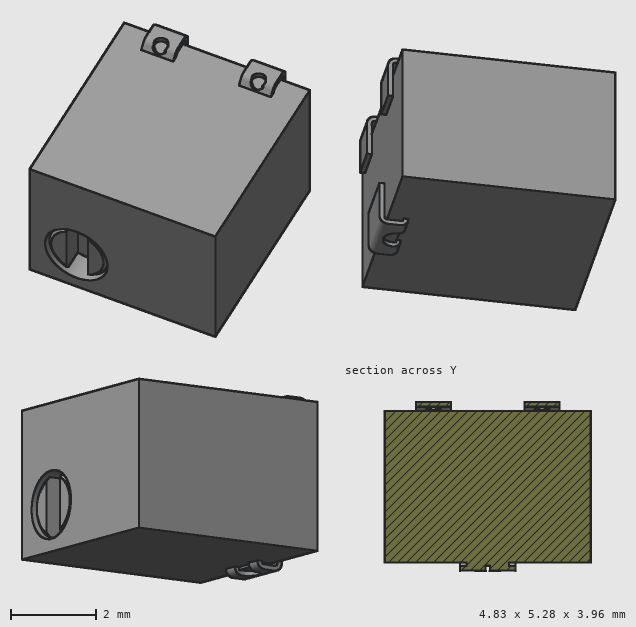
import cadquery as cq
import math

BODY_WIDTH = 4.83
BODY_DEPTH = 5.08
BODY_HEIGHT = 3.55
BACK_Y = BODY_DEPTH / 2
FRONT_Y = -BODY_DEPTH / 2

SCREW_X = -1.20
SCREW_Z = 1.12
SCREW_HOLE_RADIUS = 0.813
SCREW_HOLE_DEPTH = 0.8
SCREW_RADIUS = 0.767
SCREW_RECESS = 0.055
SCREW_CHAMFER = 0.087
SCREW_SLOT_WIDTH = 0.55
SCREW_SLOT_FLOOR = 0.65

STRIP_THICKNESS = 0.12
BACK_PROJECTION = 0.20
BACK_BEND_RADIUS = BACK_PROJECTION

TOP_TERMINAL_WIDTH = 0.83
TOP_TERMINAL_SPACING = 2.54
TOP_PROJECTION = 0.215
TOP_FLAT_LENGTH = 0.319
TOP_LEG_HEIGHT = 1.06
TOP_TIP_RADIUS = 0.22
TOP_TIP_ANGLE = 52.0
TOP_TIP_RUN = 0.30
TOP_HOLE_RADIUS = 0.177
TOP_HOLE_SETBACK = 0.387
TIP_HOLE_SETBACK = 0.055

BOTTOM_TERMINAL_WIDTH = 1.30
BOTTOM_PROJECTION = 0.195
BOTTOM_FLAT_LENGTH = 0.30
BOTTOM_LEG_HEIGHT = 1.12
BOTTOM_TIP_ANGLE = 90.0
BOTTOM_NOTCH_WIDTH = 0.565

PAD_WIDTH = 1.0
PAD_SETBACK = 0.02

OVERLAP = 0.01


def cylinder_along_y(radius, start_y, length):
    """Cylinder on the screw axis, growing toward +Y."""
    plane = cq.Plane(origin=(SCREW_X, start_y, SCREW_Z), xDir=(1, 0, 0), normal=(0, 1, 0))
    return cq.Workplane(plane).circle(radius).extrude(length)


def make_screw():
    """Chamfered screw with a slot across its face, rooted in the floor of its hole."""
    face_y = FRONT_Y + SCREW_RECESS
    screw = cylinder_along_y(SCREW_RADIUS, face_y, SCREW_HOLE_DEPTH - SCREW_RECESS + OVERLAP)
    screw = screw.faces("<Y").chamfer(SCREW_CHAMFER)
    slot_center_y = FRONT_Y + SCREW_SLOT_FLOOR / 2
    slot = cq.Workplane("XY").box(SCREW_SLOT_WIDTH, SCREW_SLOT_FLOOR, 2 * SCREW_HOLE_RADIUS)
    return screw.cut(slot.translate((SCREW_X, slot_center_y, SCREW_Z)))


def make_housing():
    """Block with the screw hole cut and the screw set in it."""
    housing = cq.Workplane("XY").box(BODY_WIDTH, BODY_DEPTH, BODY_HEIGHT, centered=(True, True, False))
    housing = housing.cut(cylinder_along_y(SCREW_HOLE_RADIUS, FRONT_Y, SCREW_HOLE_DEPTH))
    return housing.union(make_screw())


def make_strip(flat_length, projection, leg_height, tip_radius, tip_angle, tip_run, width):
    """Strip above Z = 0 and behind Y = 0: upright leg, bend, flat, bend, straight tip.

    Y = 0 is the back face of the housing and Z = 0 the housing face the strip wraps over.
    """
    leg_y = BACK_PROJECTION
    bend_y = BACK_PROJECTION - BACK_BEND_RADIUS
    bend_z = projection - BACK_BEND_RADIUS
    leg_end_z = projection - leg_height
    inner_bend_radius = BACK_BEND_RADIUS - STRIP_THICKNESS
    inner_tip_radius = tip_radius - STRIP_THICKNESS
    tip_y = -flat_length
    tip_z = projection - tip_radius
    tip_slope = math.radians(tip_angle)

    def bend_point(radius, degrees):
        angle = math.radians(degrees)
        return (bend_y + radius * math.sin(angle), bend_z + radius * math.cos(angle))

    def tip_point(radius, degrees):
        angle = math.radians(degrees)
        return (tip_y - radius * math.sin(angle), tip_z + radius * math.cos(angle))

    def tip_end(radius):
        start_y, start_z = tip_point(radius, tip_angle)
        return (start_y - tip_run * math.cos(tip_slope), start_z - tip_run * math.sin(tip_slope))

    outline = (
        cq.Workplane("YZ")
        .moveTo(leg_y, leg_end_z)
        .lineTo(*bend_point(BACK_BEND_RADIUS, 90))
        .threePointArc(bend_point(BACK_BEND_RADIUS, 45), bend_point(BACK_BEND_RADIUS, 0))
        .lineTo(*tip_point(tip_radius, 0))
        .threePointArc(tip_point(tip_radius, tip_angle / 2), tip_point(tip_radius, tip_angle))
        .lineTo(*tip_end(tip_radius))
        .lineTo(*tip_end(inner_tip_radius))
        .lineTo(*tip_point(inner_tip_radius, tip_angle))
        .threePointArc(tip_point(inner_tip_radius, tip_angle / 2), tip_point(inner_tip_radius, 0))
        .lineTo(*bend_point(inner_bend_radius, 0))
        .threePointArc(bend_point(inner_bend_radius, 45), bend_point(inner_bend_radius, 90))
        .lineTo(leg_y - STRIP_THICKNESS, leg_end_z)
        .close()
    )
    return outline.extrude(width / 2, both=True)


def make_top_hole():
    """Hole with upright walls as far as the end of the bend and walls square to the tip beyond it."""
    angle = math.radians(TOP_TIP_ANGLE)
    bend_axis = (0, -TOP_FLAT_LENGTH, TOP_PROJECTION - TOP_TIP_RADIUS)
    tip_normal = (0, -math.sin(angle), math.cos(angle))
    tip_plane = cq.Plane(origin=bend_axis, xDir=(1, 0, 0), normal=tip_normal)
    reach = 2 * TOP_TIP_RADIUS

    tip_side = cq.Workplane(tip_plane).center(0, -reach / 2).rect(2 * reach, reach).extrude(reach, both=True)
    upright = cq.Workplane("XY").center(0, -TOP_HOLE_SETBACK).circle(TOP_HOLE_RADIUS)
    upright = upright.extrude(TOP_PROJECTION).cut(tip_side)

    tip_hole = cq.Workplane(tip_plane).center(0, TIP_HOLE_SETBACK).circle(TOP_HOLE_RADIUS)
    return upright.union(tip_hole.extrude(reach).intersect(tip_side))


def make_top_terminal():
    """Terminal with a hole where its flat meets the tip bend."""
    strip = make_strip(
        TOP_FLAT_LENGTH,
        TOP_PROJECTION,
        TOP_LEG_HEIGHT,
        TOP_TIP_RADIUS,
        TOP_TIP_ANGLE,
        TOP_TIP_RUN,
        TOP_TERMINAL_WIDTH,
    )
    return strip.cut(make_top_hole())


def make_bottom_terminal():
    """Terminal with a round-ended notch open at its tip, plus the pad beneath its flat."""
    strip = make_strip(
        BOTTOM_FLAT_LENGTH,
        BOTTOM_PROJECTION,
        BOTTOM_LEG_HEIGHT,
        BOTTOM_PROJECTION,
        BOTTOM_TIP_ANGLE,
        OVERLAP,
        BOTTOM_TERMINAL_WIDTH,
    )
    notch_length = 2 * BOTTOM_PROJECTION
    notch_end = cq.Workplane("XY").center(0, -BOTTOM_FLAT_LENGTH).circle(BOTTOM_NOTCH_WIDTH / 2)
    notch_sides = cq.Workplane("XY").center(0, -BOTTOM_FLAT_LENGTH - notch_length / 2)
    notch_sides = notch_sides.rect(BOTTOM_NOTCH_WIDTH, notch_length)
    notch = notch_end.extrude(BOTTOM_PROJECTION, both=True)
    notch = notch.union(notch_sides.extrude(BOTTOM_PROJECTION, both=True))

    pad_height = BOTTOM_PROJECTION - STRIP_THICKNESS
    pad_front = BOTTOM_FLAT_LENGTH + pad_height
    pad_length = pad_front - PAD_SETBACK
    pad = cq.Workplane("XY").box(PAD_WIDTH, pad_length, pad_height, centered=(True, False, False))
    return strip.cut(notch).union(pad.translate((0, -pad_front, 0)))


result = make_housing()
for side in (-1, 1):
    terminal_x = side * TOP_TERMINAL_SPACING / 2
    result = result.union(make_top_terminal().translate((terminal_x, BACK_Y, BODY_HEIGHT)))
result = result.union(make_bottom_terminal().mirror("XY").translate((0, BACK_Y, 0)))